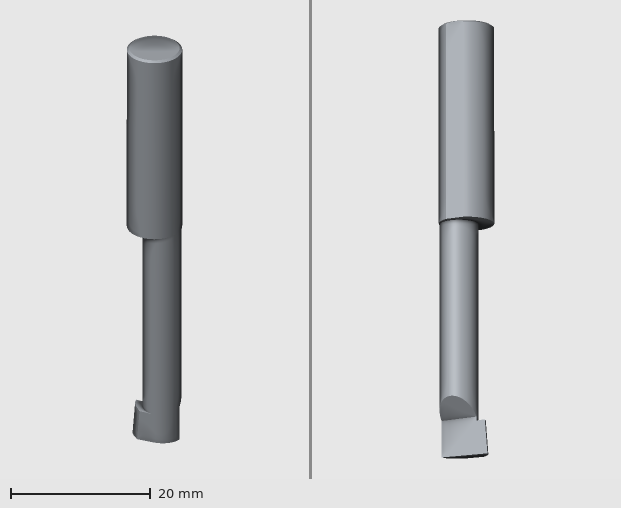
import cadquery as cq
import math

total_length = 63.5
shank_radius = 3.97
shank_bottom = 34.35
shank_flat_y = 3.715
chamfer_radial = 0.4
chamfer_height = 0.25

neck_radius = 2.8
neck_x = shank_radius - neck_radius
relief_top = 8.4
relief_bottom = 5.65

tooth_height = 5.1
tooth_lean = 0.41
tip_x = -3.335
heel_y = -1.935
heel_x = -2.3
facet_end_x = -1.45
flank_bulge = 0.2

end_angle_x = 2
end_angle_y = 6.5

cutter_size = 25.4


def make_shank():
    """Round shank with a chamfered top and a narrow flat on its +Y side."""
    body = (
        cq.Workplane("XY", origin=(0, 0, shank_bottom))
        .circle(shank_radius)
        .extrude(total_length - shank_bottom)
        .faces(">Z")
        .chamfer(chamfer_height, chamfer_radial)
    )
    flat_cutter = cq.Workplane("XY").box(
        cutter_size, cutter_size, total_length, centered=(True, False, False)
    )
    return body.cut(flat_cutter.translate((0, shank_flat_y, 0)))


def make_neck():
    """Round neck, ramped down to a half section at its lower end."""
    neck = cq.Workplane("XY").center(neck_x, 0).circle(neck_radius).extrude(shank_bottom)
    relief = (
        cq.Workplane("YZ")
        .polyline([
            (0, 0),
            (0, relief_bottom),
            (neck_radius, relief_top),
            (neck_radius, 0),
        ])
        .close()
        .extrude(cutter_size, both=True)
    )
    return neck.cut(relief)


def tooth_outline(z, shift):
    """Closed tooth outline at height z, with its flank shifted along X."""
    tip = (tip_x + shift, 0)
    heel = (heel_x + shift, heel_y)
    flank_length = math.hypot(heel_x - tip_x, heel_y)
    normal_x = heel_y / flank_length
    normal_y = -(heel_x - tip_x) / flank_length
    flank_middle = (
        (tip[0] + heel[0]) / 2 + flank_bulge * normal_x,
        (tip[1] + heel[1]) / 2 + flank_bulge * normal_y,
    )
    return (
        cq.Workplane("XY", origin=(0, 0, z))
        .moveTo(*tip)
        .threePointArc(flank_middle, heel)
        .lineTo(facet_end_x + shift, -neck_radius)
        .lineTo(neck_x, -neck_radius)
        .lineTo(neck_x, 0)
        .close()
        .val()
    )


def make_tooth():
    """Tooth leaning towards -X, joined to the half-round neck end."""
    bottom = tooth_outline(0, 0)
    top = tooth_outline(tooth_height, tooth_lean)
    return cq.Workplane(cq.Solid.makeLoft([bottom, top], True))


def make_end_cutter():
    """Block whose top is the inclined end face passing through the tip."""
    block = cq.Workplane("XY").box(
        cutter_size, cutter_size, cutter_size, centered=(True, True, False)
    )
    return (
        block.translate((0, 0, -cutter_size))
        .rotate((0, 0, 0), (1, 0, 0), -end_angle_y)
        .rotate((0, 0, 0), (0, 1, 0), -end_angle_x)
        .translate((tip_x, 0, 0))
    )


working_end = make_neck().union(make_tooth()).cut(make_end_cutter())
result = make_shank().union(working_end)